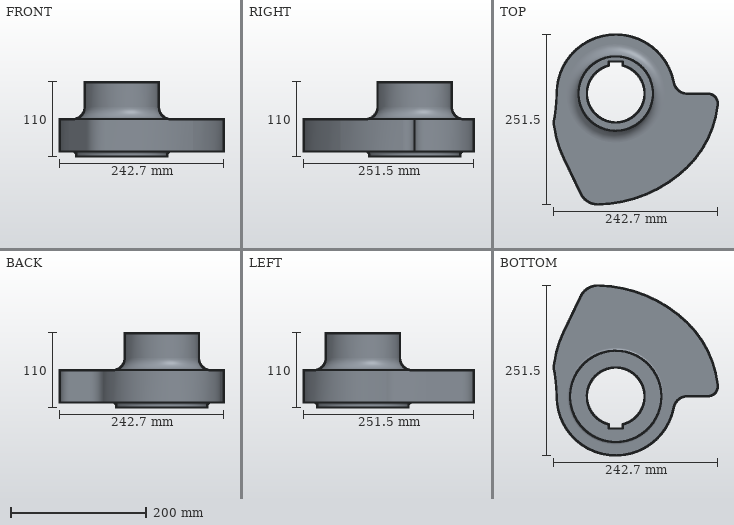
import cadquery as cq
import math

overall_height = 110.0
lower_boss_height = 7.5
plate_thickness = 48.0
plate_top = lower_boss_height + plate_thickness

hub_diameter = 110.0
hub_fillet = 17.5
lower_boss_diameter = 135.0
lower_boss_fillet = 4.0
bore_diameter = 85.0
keyway_width = 20.0
keyway_top = 47.3

round_radius = 87.5
notch_radius = 20.0
tip_radius = 15.0
rim_radius = 151.8
rim_joint_x = 105.5
rim_rise_offset = 43.5
heel_radius = 28.7
heel_center_x = -26.1
flank_angle = math.radians(25.6)
flank_radius = 145.8
flank_arc_start_y = -94.0
nose_bottom_y = -50.3
nose_middle = (-91.7, -42.0)
nose_top = (-90.5, -35.2)
relief_middle = (-88.2, -15.0)
relief_top_y = -1.8


def polar(center, radius, angle):
    """Point on a circle."""
    return (center[0] + radius * math.cos(angle), center[1] + radius * math.sin(angle))


def direction(start, end):
    """Angle of the line from start to end."""
    return math.atan2(end[1] - start[1], end[0] - start[0])


def add_arc(outline, center, radius, start_angle, end_angle):
    """Continue an outline along a circle between two angles."""
    middle = polar(center, radius, (start_angle + end_angle) / 2)
    return outline.threePointArc(middle, polar(center, radius, end_angle))


def make_plate():
    bore_center = (0.0, 0.0)

    notch_center_x = math.sqrt((round_radius + notch_radius) ** 2 - notch_radius**2)
    notch_center = (notch_center_x, notch_radius)
    notch_angle = direction(bore_center, notch_center)

    tip_center_x = math.sqrt((rim_radius - tip_radius) ** 2 - tip_radius**2)
    tip_center = (tip_center_x, -tip_radius)
    tip_angle = direction(bore_center, tip_center)

    joint_angle = -math.acos(rim_joint_x / rim_radius)
    rise_center = polar(bore_center, -rim_rise_offset, joint_angle)
    rise_radius = rim_radius + rim_rise_offset

    heel_reach = rise_radius - heel_radius
    heel_drop = math.sqrt(heel_reach**2 - (heel_center_x - rise_center[0]) ** 2)
    heel_center = (heel_center_x, rise_center[1] - heel_drop)
    heel_angle = direction(rise_center, heel_center)
    flank_normal = flank_angle - math.pi

    heel_end = polar(heel_center, heel_radius, flank_normal)
    flank_run = (flank_arc_start_y - heel_end[1]) * math.tan(flank_angle)
    flank_top = (heel_end[0] - flank_run, flank_arc_start_y)
    flank_center = polar(flank_top, -flank_radius, flank_normal)
    nose_angle = math.asin((flank_center[1] - nose_bottom_y) / flank_radius) - math.pi

    relief_top = (-math.sqrt(round_radius**2 - relief_top_y**2), relief_top_y)

    outline = cq.Workplane("XY", origin=(0, 0, lower_boss_height)).moveTo(*relief_top)
    outline = outline.threePointArc((0, round_radius), polar(bore_center, round_radius, notch_angle))
    outline = add_arc(outline, notch_center, notch_radius, notch_angle - math.pi, -math.pi / 2)
    outline = outline.lineTo(tip_center_x, 0)
    outline = add_arc(outline, tip_center, tip_radius, math.pi / 2, tip_angle)
    outline = add_arc(outline, bore_center, rim_radius, tip_angle, joint_angle)
    outline = add_arc(outline, rise_center, rise_radius, joint_angle, heel_angle)
    outline = add_arc(outline, heel_center, heel_radius, heel_angle, flank_normal)
    outline = outline.lineTo(*flank_top)
    outline = add_arc(outline, flank_center, flank_radius, flank_normal, nose_angle)
    outline = outline.threePointArc(nose_middle, nose_top)
    outline = outline.threePointArc(relief_middle, relief_top)
    return outline.close().extrude(plate_thickness)


def make_hub():
    """Hub and lower boss in one revolved body, flaring into both plate faces."""
    hub_radius = hub_diameter / 2
    boss_radius = lower_boss_diameter / 2
    diagonal = math.sqrt(0.5)
    boss_bend = lower_boss_fillet * (1 - diagonal)
    hub_bend = hub_fillet * (1 - diagonal)
    profile = (
        cq.Workplane("XZ")
        .lineTo(boss_radius, 0)
        .lineTo(boss_radius, lower_boss_height - lower_boss_fillet)
        .threePointArc(
            (boss_radius + boss_bend, lower_boss_height - boss_bend),
            (boss_radius + lower_boss_fillet, lower_boss_height),
        )
        .lineTo(hub_radius + hub_fillet, plate_top)
        .threePointArc(
            (hub_radius + hub_bend, plate_top + hub_bend),
            (hub_radius, plate_top + hub_fillet),
        )
        .lineTo(hub_radius, overall_height)
        .lineTo(0, overall_height)
        .close()
    )
    return profile.revolve(360, (0, 0, 0), (0, 1, 0))


def make_bore():
    """Through bore with a keyway on its +Y side."""
    bore = cq.Workplane("XY").circle(bore_diameter / 2).extrude(overall_height)
    keyway = (
        cq.Workplane("XY")
        .center(0, keyway_top / 2)
        .rect(keyway_width, keyway_top)
        .extrude(overall_height)
    )
    return bore.union(keyway)


result = make_plate().union(make_hub()).cut(make_bore())